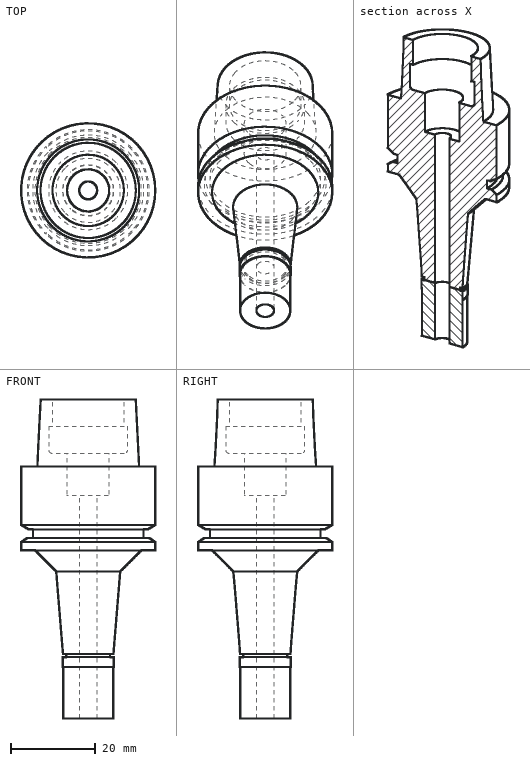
import cadquery as cq

total_height = 76.0
flange_top = 60.0
flange_bottom = 40.0
shank_height = total_height - flange_top

shank_taper = 0.1
shank_foot_radius = 12.15
shank_top_radius = shank_foot_radius - shank_height * shank_taper / 2

flange_radius = 16.0
groove_radius = 13.2
groove_top = 45.0
groove_bottom = 43.0
upper_lip_radius = 14.2
upper_lip_height = 1.1
lower_lip_radius = 14.5
lower_lip_height = 1.0

cone_top_radius = 12.65
cone_height = 5.0
cone_bottom = flange_bottom - cone_height
nose_top_radius = cone_top_radius - cone_height
nose_end_radius = 6.03
nose_end = 15.3
neck_radius = 5.25

mouth_radius = 8.5
mouth_depth = 6.5
undercut_radius = 9.4
undercut_depth = 12.0
floor_fillet = undercut_radius - mouth_radius
bore_floor = total_height - undercut_depth - floor_fillet
counterbore_radius = 5.0
counterbore_depth = 10.0
through_hole_radius = 2.1

nut_height = 14.6
nut_radius = 6.0
collar_radius = 6.1
collar_height = 2.3


def revolve_profile(points):
    """Turn a closed (radius, height) outline about the Z axis."""
    return cq.Workplane("XZ").polyline(points).close().revolve(360, (0, 0), (0, 1))


def vertical_cylinder(radius, bottom, top):
    return cq.Workplane("XY").workplane(offset=bottom).circle(radius).extrude(top - bottom)


def make_bore():
    """Stepped cavity of the holder: mouth, wider undercut, counterbore and through hole."""
    mouth = vertical_cylinder(mouth_radius, bore_floor, total_height)
    undercut = vertical_cylinder(undercut_radius, bore_floor, total_height - mouth_depth)
    undercut = undercut.faces("<Z").edges().fillet(floor_fillet)
    counterbore = vertical_cylinder(counterbore_radius, bore_floor - counterbore_depth, bore_floor)
    through_hole = vertical_cylinder(through_hole_radius, nut_height, total_height)
    return mouth.union(undercut).union(counterbore).union(through_hole)


def make_holder():
    outside = [
        (shank_top_radius, total_height),
        (shank_foot_radius, flange_top),
        (flange_radius, flange_top),
        (flange_radius, groove_top + upper_lip_height),
        (upper_lip_radius, groove_top),
        (groove_radius, groove_top),
        (groove_radius, groove_bottom),
        (lower_lip_radius, groove_bottom),
        (flange_radius, groove_bottom - lower_lip_height),
        (flange_radius, flange_bottom),
        (cone_top_radius, flange_bottom),
        (nose_top_radius, cone_bottom),
        (nose_end_radius, nose_end),
        (neck_radius, nose_end),
        (neck_radius, nut_height),
    ]
    body = revolve_profile([(0, total_height)] + outside + [(0, nut_height)])
    return body.cut(make_bore())


def make_nut():
    """Nut whose top face carries the neck of the holder, with a slightly wider collar there."""
    collar_bottom = nut_height - collar_height
    return revolve_profile([
        (through_hole_radius, 0),
        (nut_radius, 0),
        (nut_radius, collar_bottom),
        (collar_radius, collar_bottom),
        (collar_radius, nut_height),
        (through_hole_radius, nut_height),
    ])


holder = make_holder()
nut = make_nut()
result = cq.Compound.makeCompound([holder.val(), nut.val()])